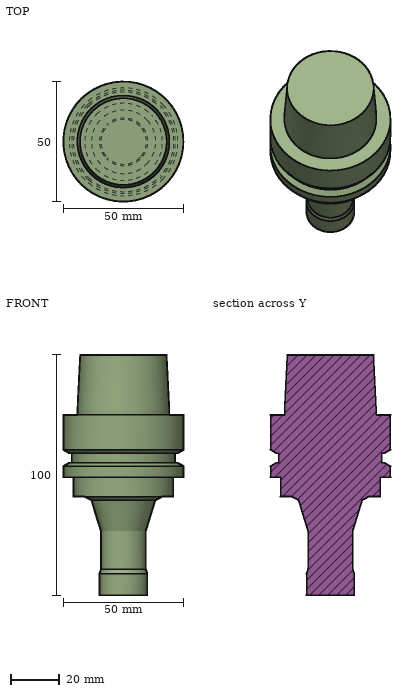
import cadquery as cq

tip_top = 9.0
neck_bottom = 10.8
neck_top = 26.8
cone_top = 39.5
hub_bottom = 41.0
flange_bottom = 49.0
groove_bottom = 55.2
groove_top = 59.0
groove_chamfer = 1.5
flange_top = 75.0
taper_bottom = 77.0
total_height = 100.0

tip_diameter = 20.0
neck_diameter = 18.8
cone_diameter = 26.6
cone_shoulder_diameter = 32.2
hub_diameter = 41.6
groove_diameter = 43.0
groove_edge_diameter = 45.0
flange_diameter = 50.0
taper_diameter = 38.3
taper_end_diameter = 36.0

stations = [
    (tip_diameter, 0),
    (tip_diameter, tip_top),
    (neck_diameter, neck_bottom),
    (neck_diameter, neck_top),
    (cone_diameter, cone_top),
    (cone_shoulder_diameter, hub_bottom),
    (hub_diameter, hub_bottom),
    (hub_diameter, flange_bottom),
    (flange_diameter, flange_bottom),
    (flange_diameter, groove_bottom - groove_chamfer),
    (groove_edge_diameter, groove_bottom),
    (groove_diameter, groove_bottom),
    (groove_diameter, groove_top),
    (groove_edge_diameter, groove_top),
    (flange_diameter, groove_top + groove_chamfer),
    (flange_diameter, flange_top),
    (taper_diameter, flange_top),
    (taper_diameter, taper_bottom),
    (taper_end_diameter, total_height),
]

section = [(0, 0)]
section += [(diameter / 2, height) for diameter, height in stations]
section += [(0, total_height)]
result = cq.Workplane("XZ").polyline(section).close().revolve(360, (0, 0), (0, 1))